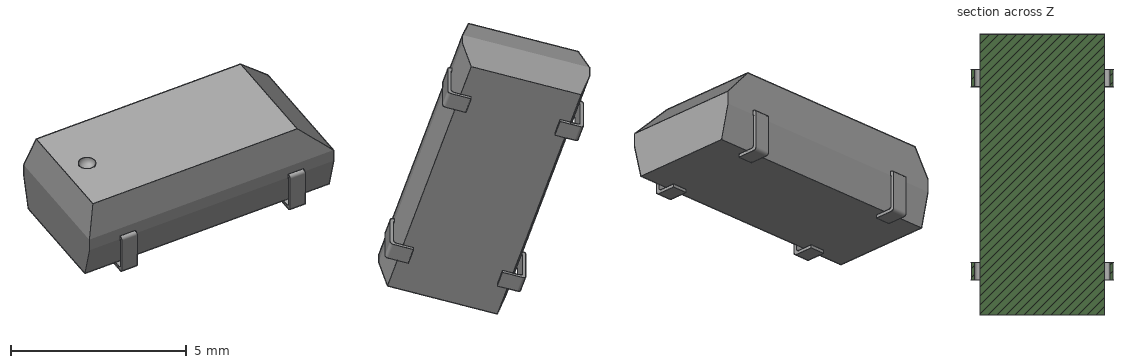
import cadquery as cq
import math

body_width = 3.8
body_length = 8.0
overall_height = 2.6
standoff = 0.1
taper_height = 1.05
draft_angle = 14
rear_chamfer = taper_height

lead_span = 4.05
lead_thickness = 0.1
lead_width = 0.5
lead_pitch = 5.5
lead_top = 1.28
foot_length = 0.7
bend_radius = 0.1
lead_embed = 0.2

dimple_radius = 0.25
dimple_depth = 0.2
dimple_y = -3.0

lower_edge_z = standoff + taper_height
upper_edge_z = overall_height - taper_height
side_draft = taper_height * math.tan(math.radians(draft_angle))
half_width = body_width / 2
half_length = body_length / 2


def make_body():
    """Body as the overlap of its end-on outline and its side outline."""
    end_outline = (
        cq.Workplane("XZ")
        .moveTo(half_width - side_draft, standoff)
        .lineTo(half_width, lower_edge_z)
        .lineTo(half_width, upper_edge_z)
        .lineTo(half_width - side_draft, overall_height)
        .lineTo(-half_width + side_draft, overall_height)
        .lineTo(-half_width, upper_edge_z)
        .lineTo(-half_width, lower_edge_z)
        .lineTo(-half_width + side_draft, standoff)
        .close()
        .extrude(half_length, both=True)
    )
    side_outline = (
        cq.Workplane("YZ")
        .moveTo(-half_length, standoff)
        .lineTo(half_length, standoff)
        .lineTo(half_length, upper_edge_z)
        .lineTo(half_length - rear_chamfer, overall_height)
        .lineTo(-half_length + side_draft, overall_height)
        .lineTo(-half_length, upper_edge_z)
        .close()
        .extrude(half_width, both=True)
    )
    return end_outline.intersect(side_outline)


def make_lead(lead_y):
    """C-shaped lead on the +X side, centred at lead_y."""
    outer_x = lead_span / 2
    inner_x = outer_x - lead_thickness
    foot_end_x = outer_x - foot_length
    embed_end_x = half_width - lead_embed
    lead = (
        cq.Workplane("XZ", origin=(0, lead_y, 0))
        .moveTo(foot_end_x, 0)
        .lineTo(outer_x, 0)
        .lineTo(outer_x, lead_top)
        .lineTo(embed_end_x, lead_top)
        .lineTo(embed_end_x, lead_top - lead_thickness)
        .lineTo(inner_x, lead_top - lead_thickness)
        .lineTo(inner_x, lead_thickness)
        .lineTo(foot_end_x, lead_thickness)
        .close()
        .extrude(lead_width / 2, both=True)
    )
    lead = lead.edges("|Y and >X").fillet(bend_radius)
    inner_corners = cq.selectors.BoxSelector(
        (inner_x - lead_thickness / 4, lead_y - lead_width, lead_thickness / 2),
        (inner_x + lead_thickness / 4, lead_y + lead_width, lead_top - lead_thickness / 2),
    )
    return lead.edges("|Y").edges(inner_corners).fillet(bend_radius)


def make_dimple():
    """Round pocket in the top face whose wall curves in to a small flat floor."""
    return (
        cq.Workplane("XY", origin=(0, dimple_y, overall_height - dimple_depth))
        .circle(dimple_radius)
        .extrude(2 * dimple_depth)
        .faces("<Z")
        .edges()
        .fillet(dimple_depth)
    )


result = make_body()
for lead_y in (-lead_pitch / 2, lead_pitch / 2):
    lead = make_lead(lead_y)
    result = result.union(lead).union(lead.mirror("YZ"))
result = result.cut(make_dimple())